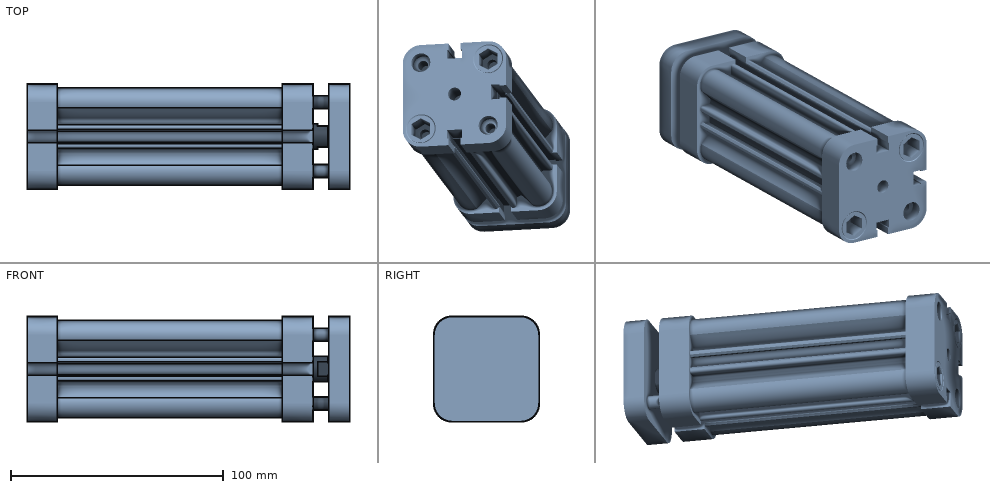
import cadquery as cq
import math

TOTAL_LENGTH = 151.5
REAR_CAP_LENGTH = 14.2
FRONT_CAP_START = 119.7
FRONT_CAP_END = 134.2
FRONT_CAP_LENGTH = FRONT_CAP_END - FRONT_CAP_START
YOKE_THICKNESS = 10.0
YOKE_START = TOTAL_LENGTH - YOKE_THICKNESS

CAP_SIDE = 49.5
CORNER_RADIUS = 8.6
CORNER_OFFSET = CAP_SIDE / 2 - CORNER_RADIUS

TUBE_RADIUS = 6.8
TUBE_ARC_END = 13.5
FLANK_FOOT = 8.0
VALLEY_RADIUS = 1.4
VALLEY_SLOPE = math.radians(19)
WALL_FOOT_RADIUS = 0.9
LIP_OUTER = 5.6
LIP_ROUND = 1.2
LIP_TOP = CORNER_OFFSET + TUBE_RADIUS
LIP_UNDERSIDE = 21.5
LIP_CHAMFER = 0.9
LIP_GAP = 5.2

SLOT_WIDTH = 7.1
PROFILE_SLOT_FLOOR = 17.9
CAP_SLOT_FLOOR = 17.4
CAP_SLOT_MOUTH = 5.9
PROFILE_SLOT_ANGLES = (0, 90, 180, 270)
CAP_SLOT_ANGLES = (0, 90, 180)

CENTRE_HOLE_DIAMETER = 6.2
MOUNTING_HOLE_DIAMETER = 4.8
COUNTERBORE_DIAMETER = 9.1
COUNTERBORE_DEPTH = 5.5

PLUG_DIAMETER = 13.3
PLUG_LENGTH = 10.0
PLUG_HEX_ACROSS_FLATS = 9.0
PLUG_BORE_CHAMFER = 0.5

ROD_DIAMETER = 12.1
ROD_ACROSS_FLATS = 10.0
ROD_FLATS_START = 136.4
ROD_CHAMFER = 0.5

GUIDE_DIAMETER = 6.2

GUIDED_CORNERS = [(-CORNER_OFFSET, CORNER_OFFSET), (CORNER_OFFSET, -CORNER_OFFSET)]
PLAIN_CORNERS = [(CORNER_OFFSET, CORNER_OFFSET), (-CORNER_OFFSET, -CORNER_OFFSET)]


def section(x):
    """Workplane across the axis at x, with local coordinates (Y, Z)."""
    return cq.Workplane("YZ", origin=(x, 0, 0))


def rod_along_axis(centres, diameter, start, end):
    return section(start).pushPoints(centres).circle(diameter / 2).extrude(end - start)


def turned(body, angle):
    """The body turned about the cylinder axis."""
    return body.rotate((0, 0, 0), (1, 0, 0), angle)


def rounded_block(start, length):
    return section(start).rect(CAP_SIDE, CAP_SIDE).extrude(length).edges("|X").fillet(CORNER_RADIUS)


def cap_slot(start, length):
    """T-slot through a cap, in its +Z side."""
    top = CAP_SIDE / 2
    outline = [
        (-SLOT_WIDTH / 2, CAP_SLOT_FLOOR),
        (SLOT_WIDTH / 2, CAP_SLOT_FLOOR),
        (SLOT_WIDTH / 2, LIP_UNDERSIDE),
        (CAP_SLOT_MOUTH / 2, LIP_UNDERSIDE),
        (CAP_SLOT_MOUTH / 2, top),
        (-CAP_SLOT_MOUTH / 2, top),
        (-CAP_SLOT_MOUTH / 2, LIP_UNDERSIDE),
        (-SLOT_WIDTH / 2, LIP_UNDERSIDE),
    ]
    return section(start).polyline(outline).close().extrude(length)


def cap(start, length):
    body = rounded_block(start, length)
    for angle in CAP_SLOT_ANGLES:
        body = body.cut(turned(cap_slot(start, length), angle))
    return body


def side_hollow(start, length, side):
    """Valley between a corner tube and a slot lip, on one half (side = 1 or -1) of the +Z side."""
    arc_rise = math.sqrt(TUBE_RADIUS**2 - (CORNER_OFFSET - TUBE_ARC_END) ** 2)
    flank_top = CORNER_OFFSET + arc_rise
    valley_depth = flank_top - (TUBE_ARC_END - FLANK_FOOT)
    wall_foot = valley_depth + (FLANK_FOOT - LIP_OUTER) * math.tan(VALLEY_SLOPE)
    above = CAP_SIDE / 2
    hollow = (
        section(start)
        .moveTo(side * TUBE_ARC_END, flank_top)
        .lineTo(side * FLANK_FOOT, valley_depth)
        .lineTo(side * LIP_OUTER, wall_foot)
        .lineTo(side * LIP_OUTER, LIP_TOP - LIP_ROUND)
        .radiusArc((side * (LIP_OUTER - LIP_ROUND), LIP_TOP), side * -LIP_ROUND)
        .lineTo(side * (LIP_OUTER - LIP_ROUND), above)
        .lineTo(side * TUBE_ARC_END, above)
        .close()
        .extrude(length)
    )
    foot = (start + length / 2, side * FLANK_FOOT, valley_depth)
    hollow = hollow.edges(cq.selectors.NearestToPointSelector(foot)).fillet(VALLEY_RADIUS)
    wall_base = (start + length / 2, side * LIP_OUTER, wall_foot)
    return hollow.edges(cq.selectors.NearestToPointSelector(wall_base)).fillet(WALL_FOOT_RADIUS)


def profile_slot(start, length):
    """T-slot with a chamfered mouth, in the +Z side of the profile."""
    half_gap = LIP_GAP / 2
    right_half = [
        (SLOT_WIDTH / 2, PROFILE_SLOT_FLOOR),
        (SLOT_WIDTH / 2, LIP_UNDERSIDE),
        (half_gap, LIP_UNDERSIDE),
        (half_gap, LIP_TOP - LIP_CHAMFER),
        (half_gap + LIP_CHAMFER, LIP_TOP),
    ]
    left_half = [(-y, z) for y, z in reversed(right_half)]
    return section(start).polyline(right_half + left_half).close().extrude(length)


def profile():
    start = REAR_CAP_LENGTH
    length = FRONT_CAP_START - REAR_CAP_LENGTH
    lip_side = 2 * LIP_TOP
    between_tubes = 2 * TUBE_ARC_END
    body = rod_along_axis(GUIDED_CORNERS + PLAIN_CORNERS, 2 * TUBE_RADIUS, start, FRONT_CAP_START)
    body = body.union(section(start).rect(lip_side, between_tubes).extrude(length))
    body = body.union(section(start).rect(between_tubes, lip_side).extrude(length))
    for angle in PROFILE_SLOT_ANGLES:
        body = body.cut(turned(profile_slot(start, length), angle))
        for side in (1, -1):
            body = body.cut(turned(side_hollow(start, length, side), angle))
    return body


def plug_seats():
    """Chamfered bores that hold the plugs."""
    seats = rod_along_axis(GUIDED_CORNERS, PLUG_DIAMETER, 0, PLUG_LENGTH)
    mouth_radius = PLUG_DIAMETER / 2 + PLUG_BORE_CHAMFER
    for y, z in GUIDED_CORNERS:
        mouth = cq.Solid.makeCone(
            mouth_radius, PLUG_DIAMETER / 2, PLUG_BORE_CHAMFER, cq.Vector(0, y, z), cq.Vector(1, 0, 0)
        )
        seats = seats.union(cq.Workplane(mouth))
    return seats


def make_housing():
    body = cap(0, REAR_CAP_LENGTH).union(profile()).union(cap(FRONT_CAP_START, FRONT_CAP_LENGTH))
    corners = GUIDED_CORNERS + PLAIN_CORNERS
    body = body.cut(rod_along_axis([(0, 0)], CENTRE_HOLE_DIAMETER, 0, REAR_CAP_LENGTH))
    body = body.cut(rod_along_axis(corners, MOUNTING_HOLE_DIAMETER, 0, REAR_CAP_LENGTH))
    body = body.cut(rod_along_axis(PLAIN_CORNERS, COUNTERBORE_DIAMETER, 0, COUNTERBORE_DEPTH))
    body = body.cut(plug_seats())
    body = body.cut(rod_along_axis([(0, 0)], ROD_DIAMETER, FRONT_CAP_START, FRONT_CAP_END))
    return body.cut(rod_along_axis(GUIDED_CORNERS, GUIDE_DIAMETER, FRONT_CAP_START, FRONT_CAP_END))


def make_plug(centre):
    """Cylindrical plug with a hexagonal opening that has two flats parallel to Z."""
    hexagon_corner = PLUG_HEX_ACROSS_FLATS / math.sqrt(3)
    angles = [math.radians(30 + 60 * i) for i in range(6)]
    hexagon = [
        (centre[0] + hexagon_corner * math.cos(a), centre[1] + hexagon_corner * math.sin(a)) for a in angles
    ]
    body = rod_along_axis([centre], PLUG_DIAMETER, 0, PLUG_LENGTH)
    return body.cut(section(0).polyline(hexagon).close().extrude(PLUG_LENGTH))


def make_piston_rod():
    """Rod with two wrench flats facing -Y and +Y, ending on the yoke."""
    body = rod_along_axis([(0, 0)], ROD_DIAMETER, FRONT_CAP_START, YOKE_START)
    body = body.faces(">X").chamfer(ROD_CHAMFER)
    flats_length = YOKE_START - ROD_FLATS_START
    flats_keep = section(ROD_FLATS_START).rect(ROD_ACROSS_FLATS, ROD_DIAMETER).extrude(flats_length)
    flats_waste = section(ROD_FLATS_START).rect(2 * ROD_DIAMETER, ROD_DIAMETER).extrude(flats_length)
    return body.cut(flats_waste.cut(flats_keep))


def make_yoke():
    """Front plate with its two guide pins."""
    pins = rod_along_axis(GUIDED_CORNERS, GUIDE_DIAMETER, FRONT_CAP_START, YOKE_START)
    return rounded_block(YOKE_START, YOKE_THICKNESS).union(pins)


housing = make_housing()
plugs = [make_plug(centre) for centre in GUIDED_CORNERS]
piston_rod = make_piston_rod()
yoke = make_yoke()

result = cq.Compound.makeCompound(
    [housing.val(), *[plug.val() for plug in plugs], piston_rod.val(), yoke.val()]
)